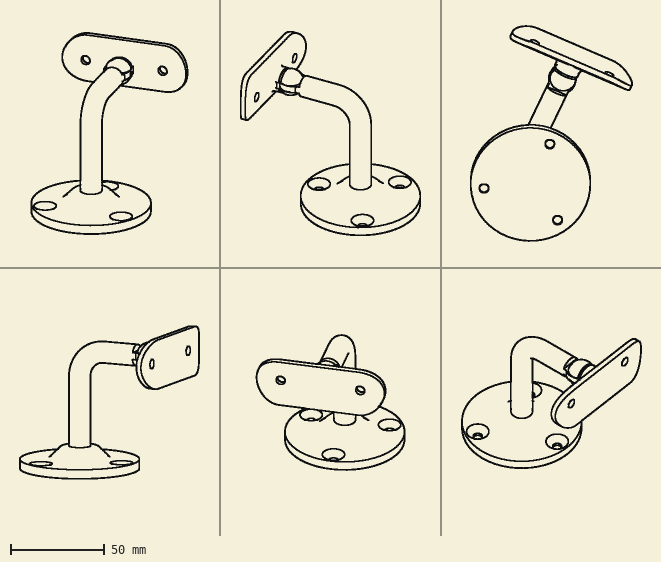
import cadquery as cq
import math


overall_depth = 89.5
overall_height = 77.9

base_radius = 32.0
base_thickness = 5.0
boss_height = 7.25
boss_top_radius = 9.8
boss_bottom_radius = boss_top_radius + boss_height
boss_fillet = 3.0

screw_count = 3
screw_circle_radius = 25.0
first_screw_angle = 90
screw_hole_diameter = 4.9
countersink_diameter = 12.0
countersink_angle = 90

saddle_length = 70.5
saddle_width = 26.7
saddle_thickness = 2.8
rail_radius = 26.8
saddle_hole_diameter = 4.9
saddle_back = overall_depth - base_radius
half_width = saddle_width / 2
saddle_z = overall_height - half_width
rail_sagitta = rail_radius - math.sqrt(rail_radius**2 - half_width**2)
saddle_front = saddle_back - rail_sagitta - saddle_thickness
rail_axis_y = saddle_back - rail_sagitta + rail_radius

neck_radius = 6.9
neck_fillet = 3.0
neck_end = 46.0

ball_radius = 7.25
ball_y = 42.1
ball_shoulder = 2.8
shank_radius = math.sqrt(ball_radius**2 - ball_shoulder**2)

slot_height = 3.85
slot_radius = 8.4
slot_bottom = saddle_z - slot_height / 2

arm_radius = 5.8
arm_z = 64.25
bend_radius = 14.3
arm_end = 34.2
tongue_radius = 7.2
tongue_y = 40.6
arm_foot = base_thickness + boss_height


def rod_along_y(radius, y_start, y_end, z):
    """Cylinder parallel to Y from y_start up to y_end."""
    plane = cq.Workplane("XZ", origin=(0, y_start, z))
    return plane.circle(radius).extrude(y_start - y_end)


def slot_cutter():
    """Slot with a concave round floor, open at the front and at both sides."""
    plane = cq.Workplane("XY", origin=(0, ball_y, slot_bottom))
    round_floor = plane.circle(slot_radius).extrude(slot_height)
    front = plane.center(0, -slot_radius / 2).rect(2 * slot_radius, slot_radius).extrude(slot_height)
    return round_floor.union(front)


def make_base():
    profile = (
        cq.Workplane("XZ")
        .lineTo(base_radius, 0)
        .lineTo(base_radius, base_thickness)
        .lineTo(boss_bottom_radius, base_thickness)
        .lineTo(boss_top_radius, arm_foot)
        .lineTo(0, arm_foot)
        .close()
    )
    base = profile.revolve(360, (0, 0, 0), (0, 1, 0))
    base = base.faces("%CONE").edges("%CIRCLE").fillet(boss_fillet)
    return (
        base.copyWorkplane(cq.Workplane("XY", origin=(0, 0, base_thickness)))
        .polarArray(screw_circle_radius, first_screw_angle, 360, screw_count)
        .cskHole(screw_hole_diameter, countersink_diameter, countersink_angle)
    )


def make_saddle():
    front_plane = cq.Workplane("XZ", origin=(0, saddle_back, saddle_z))
    depth = rail_sagitta + saddle_thickness
    plate = front_plane.slot2D(saddle_length, saddle_width).extrude(depth)
    rail_side = cq.Workplane("YZ", origin=(0, rail_axis_y, saddle_z))
    shell = (
        rail_side.circle(rail_radius + saddle_thickness)
        .circle(rail_radius)
        .extrude(saddle_length / 2, both=True)
    )
    plate = plate.intersect(shell)
    neck = rod_along_y(neck_radius, neck_end, rail_axis_y, saddle_z)
    rail = rail_side.circle(rail_radius).extrude(saddle_length / 2, both=True)
    saddle = plate.union(neck.cut(rail))
    margin = 0.1
    neck_root = cq.selectors.BoxSelector(
        (-neck_radius - margin, saddle_front - margin, saddle_z - neck_radius - margin),
        (neck_radius + margin, saddle_back, saddle_z + neck_radius + margin),
        boundingbox=True,
    )
    saddle = saddle.edges(neck_root).fillet(neck_fillet)
    hole_x = (saddle_length - saddle_width) / 2
    holes = (
        front_plane.pushPoints([(-hole_x, 0), (hole_x, 0)])
        .circle(saddle_hole_diameter / 2)
        .extrude(depth)
    )
    return saddle.cut(holes).cut(slot_cutter())


def make_ball_cheek(side):
    """Half of the split ball: side is 1 above the slot and -1 below it."""
    slot_face = cq.Workplane("XY", origin=(0, ball_y, saddle_z + side * slot_height / 2))
    half_space = slot_face.rect(3 * ball_radius, 3 * ball_radius).extrude(side * 2 * ball_radius)
    shank = rod_along_y(shank_radius, ball_y, neck_end, saddle_z).intersect(half_space)
    ball = cq.Workplane("XY", origin=(0, ball_y, saddle_z)).sphere(ball_radius)
    in_front = (
        slot_face.center(0, ball_shoulder - ball_radius)
        .rect(3 * ball_radius, 2 * ball_radius)
        .extrude(side * 2 * ball_radius)
    )
    return ball.intersect(in_front).union(shank)


def make_arm():
    bend_start = arm_z - bend_radius
    middle = bend_radius * (1 - math.sqrt(0.5))
    path = (
        cq.Workplane("YZ")
        .moveTo(0, arm_foot)
        .lineTo(0, bend_start)
        .threePointArc((middle, arm_z - middle), (bend_radius, arm_z))
        .lineTo(arm_end, arm_z)
    )
    arm = cq.Workplane("XY", origin=(0, 0, arm_foot)).circle(arm_radius).sweep(path)
    slot_layer = cq.Workplane("XY", origin=(0, tongue_y, slot_bottom))
    disc = slot_layer.circle(tongue_radius).extrude(slot_height)
    layer = slot_layer.rect(4 * tongue_radius, 4 * tongue_radius).extrude(slot_height)
    root = rod_along_y(arm_radius, arm_end, tongue_y, arm_z).intersect(layer)
    return arm.union(root).union(disc)


base = make_base()
saddle = make_saddle()
ball_cheeks = [make_ball_cheek(side) for side in (1, -1)]
arm = make_arm()

result = cq.Compound.makeCompound(
    [base.val(), saddle.val(), arm.val(), *[cheek.val() for cheek in ball_cheeks]]
)